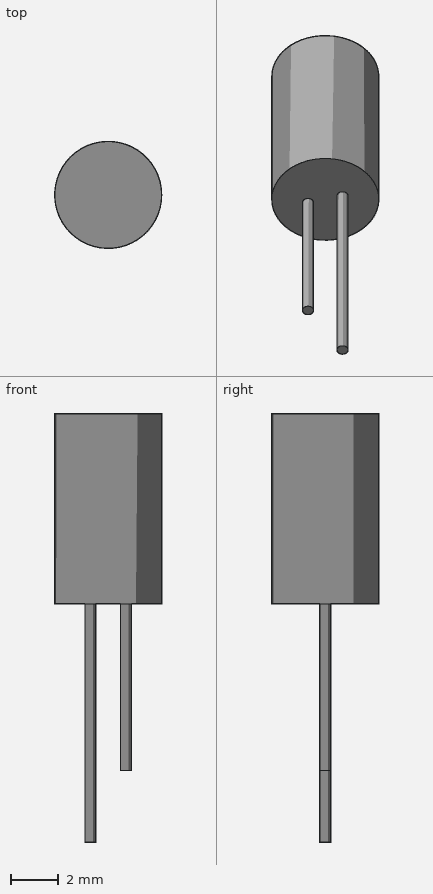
import cadquery as cq

total_height = 18.0
case_diameter = 4.5
case_height = 8.0

lead_diameter = 0.47
lead_pitch = 1.5
long_lead_length = total_height - case_height
short_lead_length = 7.0


def make_case():
    """Plain cylinder standing on Z = 0."""
    return cq.Workplane("XY").circle(case_diameter / 2).extrude(case_height)


def make_lead(x_position, length):
    """Straight round lead hanging from the underside of the case."""
    return cq.Workplane("XY").center(x_position, 0).circle(lead_diameter / 2).extrude(-length)


case = make_case()

lead_layout = [
    (-lead_pitch / 2, long_lead_length),
    (lead_pitch / 2, short_lead_length),
]
leads = [make_lead(x_position, length).val() for x_position, length in lead_layout]

result = cq.Compound.makeCompound([case.val(), *leads])